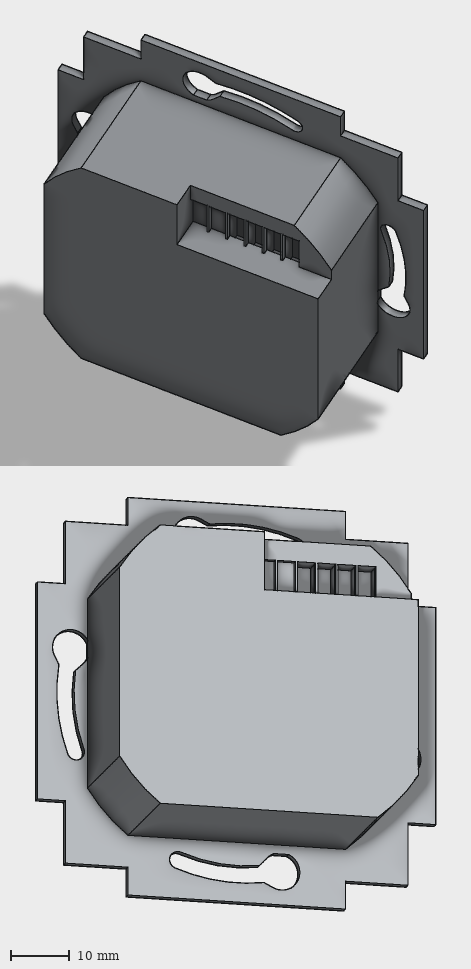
import cadquery as cq
import math


plate_size = 70.0
plate_thickness = 1.5
arm_half_width = 19.1
shoulder_reach = 30.1

slot_radius = 30.1
slot_width = 3.0
slot_end_angle = 20.0
head_diameter = 6.6
head_angle = 15.0
head_flat_reach = 26.05
flare_angle = 26.6
flare_length = 2.1
ramp_head_angle = 129.0
ramp_foot = -4.0

total_depth = 23.7
housing_depth = total_depth - plate_thickness
housing_width = 52.5
housing_height = 49.0
housing_corner_radius = 31.1

recess_left = -0.8
recess_floor = 14.3
recess_depth = 5.0

pocket_count = 6
blind_pocket_count = 2
window_width = 3.15
pocket_wall = 0.385
window_height = 6.65
window_depth = 1.0
chamber_side_step = 0.1
chamber_depth = 2.8
chamber_drop = 2.8
pocket_pitch = window_width + pocket_wall

plate_front = -plate_thickness
housing_front = -total_depth
recess_back = housing_front + recess_depth
window_back = recess_back + window_depth


def block(x_min, x_max, y_min, y_max, z_min, z_max):
    """Box between the given limits."""
    return cq.Workplane("XY").box(
        x_max - x_min, y_max - y_min, z_max - z_min, centered=False
    ).translate((x_min, y_min, z_min))


def polar(radius, angle, center=(0, 0)):
    """XZ point at a distance from the center, its angle measured clockwise from +Z."""
    turn = math.radians(angle)
    return (center[0] + radius * math.sin(turn), center[1] + radius * math.cos(turn))


def keyhole_slot():
    """Cutter for the keyhole slot in the upper tab, with its head on the left."""
    outer_radius = slot_radius + slot_width / 2
    inner_radius = slot_radius - slot_width / 2
    head_radius = head_diameter / 2
    head_center = polar(slot_radius, -head_angle)
    head_x = head_center[0]

    slot = (
        cq.Workplane("XZ")
        .moveTo(*polar(outer_radius, -head_angle))
        .threePointArc(polar(outer_radius, 0), polar(outer_radius, slot_end_angle))
        .lineTo(*polar(inner_radius, slot_end_angle))
        .threePointArc(polar(inner_radius, 0), polar(inner_radius, -head_angle))
        .close()
        .extrude(plate_thickness)
    )
    round_end = (
        cq.Workplane("XZ")
        .center(*polar(slot_radius, slot_end_angle))
        .circle(slot_width / 2)
        .extrude(plate_thickness)
    )

    head = cq.Workplane("XZ").center(*head_center).circle(head_radius).extrude(plate_thickness)
    trimmed_away = block(
        head_x - head_diameter, head_x + head_diameter,
        plate_front, 0, head_flat_reach - head_diameter, head_flat_reach,
    )
    head = head.cut(trimmed_away)

    flare_start = polar(head_radius, flare_angle, head_center)
    flare_end = polar(flare_length, flare_angle + 90, flare_start)
    ramp_start = polar(head_radius, ramp_head_angle, head_center)
    ramp_end = (ramp_foot, math.sqrt(inner_radius ** 2 - ramp_foot ** 2))
    throat = (
        cq.Workplane("XZ")
        .polyline([head_center, flare_start, flare_end, ramp_end, ramp_start])
        .close()
        .extrude(plate_thickness)
    )
    return slot.union(round_end).union(head).union(throat)


def make_plate():
    tip = plate_size / 2
    plate = block(-arm_half_width, arm_half_width, plate_front, 0, -tip, tip)
    plate = plate.union(block(-tip, tip, plate_front, 0, -arm_half_width, arm_half_width))
    plate = plate.union(
        block(-shoulder_reach, shoulder_reach, plate_front, 0, -shoulder_reach, shoulder_reach)
    )

    upper_slot = keyhole_slot()
    left_slot = upper_slot.mirror("YZ").rotate((0, 0, 0), (0, 1, 0), -90)
    for slot in (upper_slot, left_slot):
        plate = plate.cut(slot)
        plate = plate.cut(slot.rotate((0, 0, 0), (0, 1, 0), 180))
    return plate


def make_housing():
    half_width = housing_width / 2
    half_height = housing_height / 2
    housing = block(
        -half_width, half_width, housing_front, plate_front, -half_height, half_height
    )
    corner_cylinder = (
        cq.Workplane("XZ", origin=(0, plate_front, 0))
        .circle(housing_corner_radius)
        .extrude(housing_depth)
    )
    housing = housing.intersect(corner_cylinder)

    housing = housing.cut(
        block(recess_left, half_width, housing_front, recess_back, recess_floor, half_height)
    )

    window_top = recess_floor + window_height
    for index in range(pocket_count):
        window_left = recess_left + index * pocket_pitch
        window_right = window_left + window_width
        window = block(
            window_left, window_right, recess_back, window_back, recess_floor, window_top
        )
        housing = housing.cut(window)
        if index < blind_pocket_count:
            continue
        chamber = block(
            window_left - chamber_side_step, window_right + chamber_side_step,
            window_back, window_back + chamber_depth,
            recess_floor - chamber_drop, window_top,
        )
        housing = housing.cut(chamber)
    return housing


plate = make_plate()
housing = make_housing()

result = cq.Compound.makeCompound([plate.val(), housing.val()])